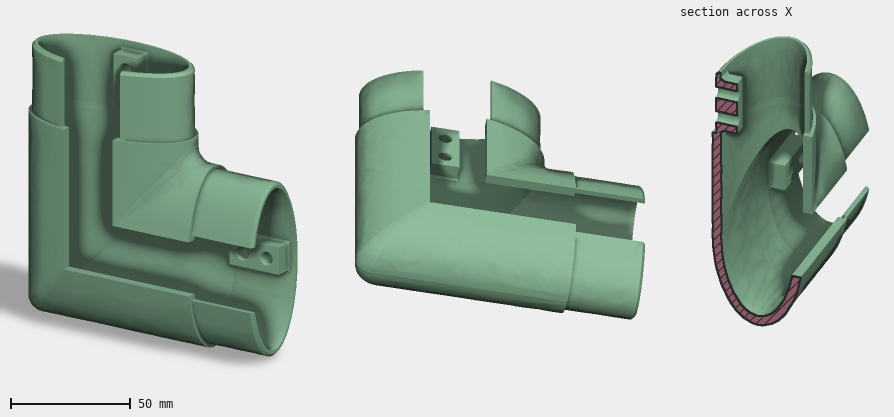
import cadquery as cq

ARM_LENGTH = 120.0
BODY_LENGTH = 90.0
BODY_WIDTH = 80.2
BODY_DEPTH = 41.2
CORNER_RADIUS = 7.2

SPIGOT_STEP = 1.7
SPIGOT_CHAMFER = 1.2

BODY_BORE_WIDTH = 71.0
BODY_BORE_DEPTH = 32.9
SPIGOT_BORE_WIDTH = 71.6
SPIGOT_BORE_DEPTH = 33.4
BORE_TAPER_START = 88.0
BORE_TAPER_END = 91.1

BODY_SLOT_WIDTH = 24.0
SPIGOT_SLOT_WIDTH = 28.8

PAD_WIDTH = 12.0
PAD_HEIGHT = 24.5
PAD_CENTRE = 103.9
PAD_FACE_Y = 9.2
PAD_FLARE = 1.0
PAD_LIP = 0.4
PAD_ROOT = 1.0
HOLE_PITCH = 12.0
HOLE_DIAMETER = 5.3
HOLE_CHAMFER = 0.5

SELECT_MARGIN = 1.2

AXIS = BODY_WIDTH / 2
SPIGOT_WIDTH = BODY_WIDTH - 2 * SPIGOT_STEP
SPIGOT_DEPTH = BODY_DEPTH - 2 * SPIGOT_STEP


def ellipse_at(z, width, depth):
    return cq.Workplane("XY", origin=(AXIS, 0, z)).ellipse(width / 2, depth / 2)


def above_mitre():
    """Wedge of space on the upright side of the mitre plane X = Z."""
    return (
        cq.Workplane("XZ")
        .polyline([(0, 0), (ARM_LENGTH, ARM_LENGTH), (0, ARM_LENGTH)])
        .close()
        .extrude(BODY_DEPTH, both=True)
    )


def upright_body():
    column = ellipse_at(0, BODY_WIDTH, BODY_DEPTH).extrude(BODY_LENGTH)
    return column.intersect(above_mitre())


def other_arm(shape):
    """Swap X and Z to turn an upright feature into the horizontal one."""
    turned = shape.rotate((0, 0, 0), (0, 1, 0), 90)
    return turned.mirror("XY")


def both_arms(shape):
    return shape.union(other_arm(shape))


def elbow_strip(y_start, y_end):
    """L-shaped block, as wide as the body slot, that runs along the middle of both arms."""
    near = AXIS - BODY_SLOT_WIDTH / 2
    far = AXIS + BODY_SLOT_WIDTH / 2
    return (
        cq.Workplane("XZ", origin=(0, y_end, 0))
        .polyline([
            (near, near),
            (BODY_LENGTH, near),
            (BODY_LENGTH, far),
            (far, far),
            (far, BODY_LENGTH),
            (near, BODY_LENGTH),
        ])
        .close()
        .extrude(y_end - y_start)
    )


def rounded_elbow():
    """Mitred body with its crease rounded, except across the middle where it fades out.

    The rear half is rounded and then mirrored, so that each crease ends on the plane Y = 0.
    """
    rear_half = cq.Workplane("XY").box(
        2 * ARM_LENGTH, BODY_DEPTH, 2 * ARM_LENGTH, centered=(True, False, True)
    )
    mitred = both_arms(upright_body()).intersect(rear_half)
    strip = elbow_strip(0, BODY_DEPTH)
    crease_zone = cq.selectors.BoxSelector(
        (-SELECT_MARGIN, -SELECT_MARGIN, -SELECT_MARGIN),
        (BODY_WIDTH + SELECT_MARGIN, BODY_DEPTH, BODY_WIDTH + SELECT_MARGIN),
        boundingbox=True,
    )
    rear = mitred.intersect(strip)
    for side in mitred.cut(strip).solids().vals():
        creases = cq.Workplane(side).edges(crease_zone).edges("not %LINE")
        rear = rear.union(cq.Workplane(side.fillet(CORNER_RADIUS, creases.vals())))
    return rear.union(rear.mirror("XZ"))


def upright_spigot():
    return (
        ellipse_at(BODY_LENGTH, SPIGOT_WIDTH, SPIGOT_DEPTH)
        .extrude(ARM_LENGTH - BODY_LENGTH)
        .faces(">Z")
        .chamfer(SPIGOT_CHAMFER)
    )


def body_bore(end):
    """Narrower bore from the mitre up to the given height."""
    return ellipse_at(0, BODY_BORE_WIDTH, BODY_BORE_DEPTH).extrude(end).intersect(above_mitre())


def spigot_bore(start):
    """Wider bore from the given height out through the mouth."""
    return ellipse_at(start, SPIGOT_BORE_WIDTH, SPIGOT_BORE_DEPTH).extrude(ARM_LENGTH - start)


def bore_taper():
    return (
        ellipse_at(BORE_TAPER_START, BODY_BORE_WIDTH, BODY_BORE_DEPTH)
        .workplane(offset=BORE_TAPER_END - BORE_TAPER_START)
        .ellipse(SPIGOT_BORE_WIDTH / 2, SPIGOT_BORE_DEPTH / 2)
        .loft()
    )


def bores():
    """The upright bores blend through a taper; the horizontal ones meet at a plain step."""
    upright = body_bore(BORE_TAPER_START).union(bore_taper()).union(spigot_bore(BORE_TAPER_END))
    horizontal = other_arm(body_bore(BODY_LENGTH).union(spigot_bore(BODY_LENGTH)))
    return upright.union(horizontal)


def upright_spigot_slot():
    return (
        cq.Workplane("XY", origin=(AXIS, -BODY_DEPTH / 2, BODY_LENGTH))
        .rect(SPIGOT_SLOT_WIDTH, BODY_DEPTH)
        .extrude(ARM_LENGTH - BODY_LENGTH)
    )


def pad_section(y, margin):
    return cq.Workplane("XZ", origin=(AXIS, y, PAD_CENTRE)).rect(
        PAD_WIDTH + 2 * margin, PAD_HEIGHT + 2 * margin
    )


def upright_pad():
    """Pad rooted in the rear wall, with a 45 degree flare where it leaves the wall."""
    root_y = SPIGOT_BORE_DEPTH / 2 + PAD_ROOT
    flare_y = SPIGOT_BORE_DEPTH / 2 - PAD_LIP
    base = pad_section(root_y, PAD_FLARE).extrude(root_y - flare_y)
    flare = (
        pad_section(flare_y, PAD_FLARE)
        .workplane(offset=PAD_FLARE)
        .rect(PAD_WIDTH, PAD_HEIGHT)
        .loft()
    )
    block = pad_section(root_y, 0).extrude(root_y - PAD_FACE_Y)
    return base.union(flare).union(block)


def screw_hole(z):
    """Through hole with a 45 degree countersink on the pad face."""
    start = cq.Workplane("XZ", origin=(AXIS, PAD_FACE_Y, z))
    shaft = start.circle(HOLE_DIAMETER / 2).extrude(-BODY_DEPTH)
    countersink = (
        start.circle(HOLE_DIAMETER / 2 + HOLE_CHAMFER)
        .workplane(offset=-HOLE_CHAMFER)
        .circle(HOLE_DIAMETER / 2)
        .loft()
    )
    return shaft.union(countersink)


def upright_holes():
    lower = screw_hole(PAD_CENTRE - HOLE_PITCH / 2)
    return lower.union(screw_hole(PAD_CENTRE + HOLE_PITCH / 2))


result = (
    rounded_elbow()
    .union(both_arms(upright_spigot()))
    .cut(bores())
    .cut(elbow_strip(-BODY_DEPTH, 0))
    .cut(both_arms(upright_spigot_slot()))
    .union(both_arms(upright_pad()))
    .cut(both_arms(upright_holes()))
)